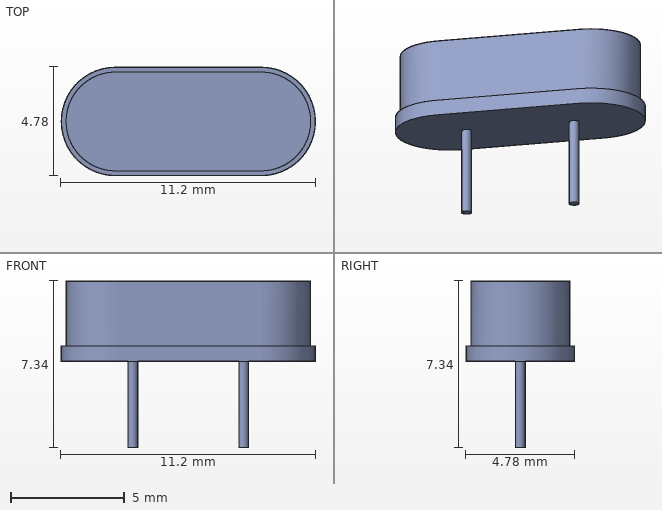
import cadquery as cq

base_length = 11.2
base_width = 4.78
base_height = 0.68
rim_width = 0.21
can_height = 2.85
pin_diameter = 0.44
pin_length = 3.81
pin_spacing = 4.88

can_length = base_length - 2 * rim_width
can_width = base_width - 2 * rim_width


def make_base():
    """Flat oblong base plate with its underside at Z = 0."""
    return cq.Workplane("XY").slot2D(base_length, base_width).extrude(base_height)


def make_can():
    """Oblong can standing on the base."""
    can_plane = cq.Workplane("XY").workplane(offset=base_height)
    return can_plane.slot2D(can_length, can_width).extrude(can_height)


def make_pin(x):
    """Round lead hanging from the underside of the base."""
    return cq.Workplane("XY").center(x, 0).circle(pin_diameter / 2).extrude(-pin_length)


base = make_base()
can = make_can()
pins = [make_pin(side * pin_spacing / 2) for side in (-1, 1)]

result = cq.Compound.makeCompound([base.val(), can.val(), *[pin.val() for pin in pins]])